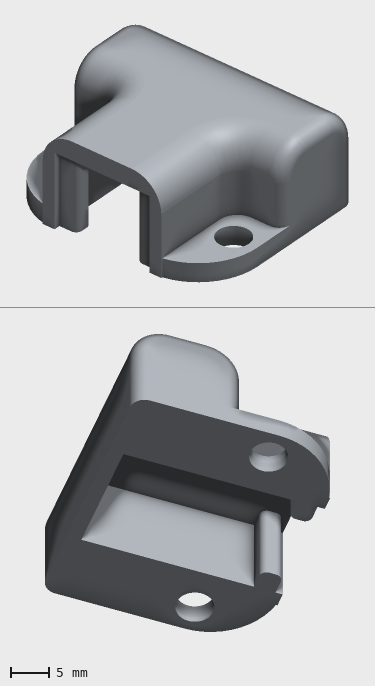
import cadquery as cq

WIDTH = 36.0
DEPTH = 30.0
HEIGHT = 15.0

STEM_WIDTH = 20.0
BAR_FRONT = DEPTH - HEIGHT
TOP_RADIUS = 5.0
INNER_CORNER_RADIUS = 3.0
END_RADIUS = 2.0

FLANGE_THICKNESS = 3.0
FLANGE_RADIUS = 10.0
FLANGE_BACK = BAR_FRONT + TOP_RADIUS
HOLE_DIAMETER = 5.1
HOLE_SPACING = 28.0

WALL = 2.0
ROOF = 3.0
CHANNEL_WIDTH = STEM_WIDTH - 2 * WALL

RIB_START = 1.0
RIB_LENGTH = 3.0
RIB_PROJECTION = 3.0
RIB_RADIUS = 1.0

TOLERANCE = 0.05


def centred_box(width, front, back, height):
    """Box symmetric about X = 0, standing on the base plane."""
    return cq.Workplane("XY").box(width, back - front, height, centered=(True, False, False)).translate(
        (0, front, 0)
    )


def make_cover():
    stem = centred_box(STEM_WIDTH, 0, DEPTH, HEIGHT)
    bar = centred_box(WIDTH, BAR_FRONT, DEPTH, HEIGHT)
    cover = stem.union(bar)

    half_stem = STEM_WIDTH / 2
    inner_corners = cq.selectors.BoxSelector(
        (-half_stem - TOLERANCE, BAR_FRONT - TOLERANCE, 0),
        (half_stem + TOLERANCE, BAR_FRONT + TOLERANCE, HEIGHT),
    )
    cover = cover.edges("|Z").edges(inner_corners).fillet(INNER_CORNER_RADIUS)

    cover = cover.faces(">Z").edges("not(<Y or <X or >X)").fillet(TOP_RADIUS)
    for end in ("<X", ">X"):
        cover = cover.faces(end).edges("not <Z").fillet(END_RADIUS)
    return cover


def make_flange():
    plate = centred_box(WIDTH, 0, FLANGE_BACK, FLANGE_THICKNESS)
    return plate.edges("|Z and <Y").fillet(FLANGE_RADIUS)


def make_holes():
    return (
        cq.Workplane("XY")
        .pushPoints([(-HOLE_SPACING / 2, FLANGE_RADIUS), (HOLE_SPACING / 2, FLANGE_RADIUS)])
        .circle(HOLE_DIAMETER / 2)
        .extrude(FLANGE_THICKNESS)
    )


def make_channel():
    return centred_box(CHANNEL_WIDTH, 0, DEPTH - WALL, HEIGHT - ROOF)


def make_rib_pair():
    """Full-height ribs on both channel walls, with rounded inward edges."""
    ribs = centred_box(CHANNEL_WIDTH, RIB_START, RIB_START + RIB_LENGTH, HEIGHT - ROOF)
    gap_width = CHANNEL_WIDTH - 2 * RIB_PROJECTION
    gap = centred_box(gap_width, RIB_START, RIB_START + RIB_LENGTH, HEIGHT - ROOF)
    ribs = ribs.cut(gap)
    half_gap = gap_width / 2 + TOLERANCE
    inward_edges = cq.selectors.BoxSelector((-half_gap, 0, 0), (half_gap, DEPTH, HEIGHT))
    return ribs.edges("|Z").edges(inward_edges).fillet(RIB_RADIUS)


result = (
    make_cover()
    .union(make_flange())
    .cut(make_holes())
    .cut(make_channel())
    .union(make_rib_pair())
)